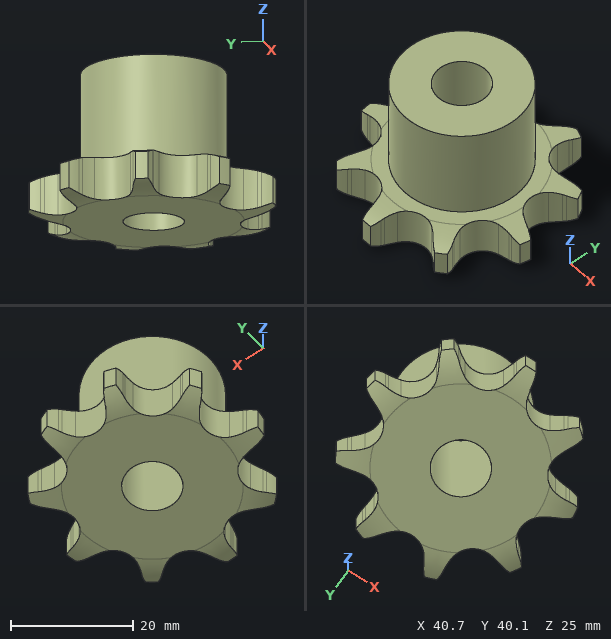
import cadquery as cq
import math

tooth_count = 9
chain_pitch = 12.7
roller_diameter = 8.55
roller_clearance = 0.1
tip_diameter = 41.0
plate_thickness = 7.2
total_height = 25.0
hub_diameter = 24
bore_diameter = 10.0
flat_face_diameter = 29.7
tooth_side_drop = 1.3

seating_angle = math.radians(35 + 60 / tooth_count)
working_angle = math.radians(18 - 56 / tooth_count)
topping_angle = math.radians(17 - 64 / tooth_count)
working_center_offset = 0.8 * roller_diameter
topping_center_offset = 1.4 * roller_diameter

pitch_radius = chain_pitch / 2 / math.sin(math.pi / tooth_count)
seating_radius = (roller_diameter + roller_clearance) / 2
working_radius = seating_radius + working_center_offset
flank_length = (topping_center_offset * math.sin(topping_angle)
                - working_center_offset * math.sin(working_angle))
topping_radius = (topping_center_offset * math.cos(topping_angle)
                  + working_center_offset * math.cos(working_angle) - working_radius)

tip_radius = tip_diameter / 2
cutter_overrun = 0.8
cutter_radius = tip_radius + cutter_overrun


def polar_point(center, radius, angle):
    """Point at a distance and an angle from a center."""
    return (center[0] + radius * math.cos(angle), center[1] + radius * math.sin(angle))


def tooth_blank():
    """Bored disc whose two faces curve away towards the tooth tips."""
    bore_radius = bore_diameter / 2
    flat_radius = flat_face_diameter / 2
    reach = tip_radius - flat_radius
    side_radius = (reach**2 + tooth_side_drop**2) / (2 * tooth_side_drop)
    half_sweep = math.asin(reach / side_radius) / 2
    mid_reach = side_radius * math.sin(half_sweep)
    mid_drop = side_radius * (1 - math.cos(half_sweep))
    return (
        cq.Workplane("XZ")
        .moveTo(bore_radius, 0)
        .lineTo(flat_radius, 0)
        .threePointArc((flat_radius + mid_reach, mid_drop), (tip_radius, tooth_side_drop))
        .lineTo(tip_radius, plate_thickness - tooth_side_drop)
        .threePointArc(
            (flat_radius + mid_reach, plate_thickness - mid_drop), (flat_radius, plate_thickness)
        )
        .lineTo(bore_radius, plate_thickness)
        .close()
        .revolve(360, (0, 0, 0), (0, 1, 0))
    )


def tooth_gap():
    """Cutter for the gap centered on +Y: seating arc, working arc, straight flank, topping arc."""
    roller_center = (0, pitch_radius)
    flank_normal = working_angle - seating_angle
    working_center = polar_point(roller_center, working_center_offset, math.pi - seating_angle)

    seat_bottom = (0, pitch_radius - seating_radius)
    seat_end = polar_point(roller_center, seating_radius, -seating_angle)
    working_mid = polar_point(working_center, working_radius, working_angle / 2 - seating_angle)
    working_end = polar_point(working_center, working_radius, flank_normal)
    flank_end = polar_point(working_end, flank_length, flank_normal + math.pi / 2)

    topping_center = polar_point(flank_end, topping_radius, flank_normal)
    center_distance = math.hypot(*topping_center)
    center_direction = math.atan2(topping_center[1], topping_center[0])
    end_offset = math.acos(
        (center_distance**2 + cutter_radius**2 - topping_radius**2)
        / (2 * center_distance * cutter_radius)
    )
    topping_end = polar_point((0, 0), cutter_radius, center_direction + end_offset)
    start_angle = math.pi + flank_normal
    end_angle = math.atan2(topping_end[1] - topping_center[1], topping_end[0] - topping_center[0])
    topping_mid = polar_point(topping_center, topping_radius, (start_angle + end_angle) / 2)

    def mirrored(point):
        return (-point[0], point[1])

    return (
        cq.Workplane("XY")
        .moveTo(*topping_end)
        .threePointArc(topping_mid, flank_end)
        .lineTo(*working_end)
        .threePointArc(working_mid, seat_end)
        .threePointArc(seat_bottom, mirrored(seat_end))
        .threePointArc(mirrored(working_mid), mirrored(working_end))
        .lineTo(*mirrored(flank_end))
        .threePointArc(mirrored(topping_mid), mirrored(topping_end))
        .threePointArc((0, cutter_radius), topping_end)
        .close()
        .extrude(plate_thickness)
    )


def hub():
    """Bored cylinder standing on the toothed plate."""
    return (
        cq.Workplane("XY", origin=(0, 0, plate_thickness))
        .circle(hub_diameter / 2)
        .circle(bore_diameter / 2)
        .extrude(total_height - plate_thickness)
    )


result = tooth_blank()
gap = tooth_gap()
for index in range(tooth_count):
    result = result.cut(gap.rotate((0, 0, 0), (0, 0, 1), index * 360 / tooth_count))
result = result.union(hub())